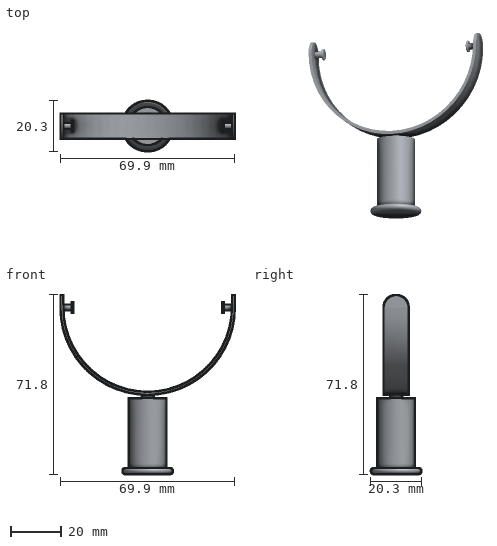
import cadquery as cq

FLANGE_DIAMETER = 20.32
FLANGE_THICKNESS = 2.54
POST_DIAMETER = 15.24
POST_TOP = 30.48
NECK_DIAMETER = 5.08
NECK_HEIGHT = 1.27

BAND_OUTER_DIAMETER = 69.85
BAND_THICKNESS = 1.27
BAND_WIDTH = 10.16
BAND_OUTER_RADIUS = BAND_OUTER_DIAMETER / 2
BAND_INNER_RADIUS = BAND_OUTER_RADIUS - BAND_THICKNESS
BAND_AXIS_HEIGHT = POST_TOP + NECK_HEIGHT + BAND_OUTER_RADIUS

PIN_DIAMETER = 2.54
PIN_SHANK_LENGTH = 3.175
HEAD_DIAMETER = 4.57
HEAD_THICKNESS = 0.762
HEAD_EDGE_RADIUS = 0.254


def make_flange():
    """Disc with a fully rounded rim, standing on Z = 0."""
    rim_radius = FLANGE_THICKNESS / 2
    flat_radius = FLANGE_DIAMETER / 2 - rim_radius
    return (
        cq.Workplane("XZ")
        .lineTo(flat_radius, 0)
        .threePointArc((FLANGE_DIAMETER / 2, rim_radius), (flat_radius, FLANGE_THICKNESS))
        .lineTo(0, FLANGE_THICKNESS)
        .close()
        .revolve(360, (0, 0, 0), (0, 1, 0))
    )


def make_post():
    """Cylindrical post rising from the flange."""
    return (
        cq.Workplane("XY")
        .workplane(offset=FLANGE_THICKNESS)
        .circle(POST_DIAMETER / 2)
        .extrude(POST_TOP - FLANGE_THICKNESS)
    )


def make_neck():
    """Thin neck ending inside the wall of the band, so that it meets the curved underside."""
    embed = BAND_THICKNESS / 2
    return (
        cq.Workplane("XY")
        .workplane(offset=POST_TOP)
        .circle(NECK_DIAMETER / 2)
        .extrude(NECK_HEIGHT + embed)
    )


def make_band():
    """Lower half of a ring, open upward."""
    return (
        cq.Workplane("XZ", origin=(0, 0, BAND_AXIS_HEIGHT))
        .moveTo(-BAND_OUTER_RADIUS, 0)
        .threePointArc((0, -BAND_OUTER_RADIUS), (BAND_OUTER_RADIUS, 0))
        .lineTo(BAND_INNER_RADIUS, 0)
        .threePointArc((0, -BAND_INNER_RADIUS), (-BAND_INNER_RADIUS, 0))
        .close()
        .extrude(BAND_WIDTH / 2, both=True)
    )


def make_band_end():
    """Half-round tab continuing the band upward at its -X end."""
    radius = BAND_WIDTH / 2
    return (
        cq.Workplane("YZ", origin=(-BAND_OUTER_RADIUS, 0, BAND_AXIS_HEIGHT))
        .moveTo(-radius, 0)
        .threePointArc((0, radius), (radius, 0))
        .close()
        .extrude(BAND_THICKNESS)
    )


def make_pin():
    """Pin at the -X end, from inside the wall of the band end to the back of its head."""
    embed = BAND_THICKNESS / 2
    return (
        cq.Workplane("YZ", origin=(-BAND_INNER_RADIUS - embed, 0, BAND_AXIS_HEIGHT))
        .circle(PIN_DIAMETER / 2)
        .extrude(embed + PIN_SHANK_LENGTH)
    )


def make_pin_head():
    """Disc with rounded edges at the tip of the -X pin."""
    return (
        cq.Workplane("YZ", origin=(-BAND_INNER_RADIUS + PIN_SHANK_LENGTH, 0, BAND_AXIS_HEIGHT))
        .circle(HEAD_DIAMETER / 2)
        .extrude(HEAD_THICKNESS)
        .edges()
        .fillet(HEAD_EDGE_RADIUS)
    )


stand = make_flange().union(make_post()).union(make_neck()).union(make_band())
end_fitting = make_band_end().union(make_pin()).union(make_pin_head())
result = stand.union(end_fitting).union(end_fitting.mirror("YZ"))